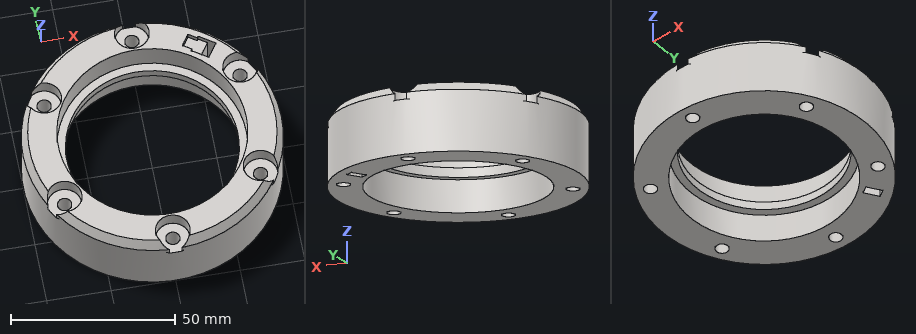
import cadquery as cq

OUTER_DIAMETER = 80.0
HEIGHT = 22.5
CHAMFER_WIDTH = 2.0
CHAMFER_HEIGHT = 2.9

BORE_DIAMETER = 58.2
LIP_DIAMETER = 53.0
LIP_DEPTH = 9.0
LIP_THICKNESS = 3.0

SCREW_COUNT = 6
SCREW_CIRCLE_RADIUS = 35.0
SCREW_START_ANGLE = 90.0
SCREW_HOLE_DIAMETER = 4.3
COUNTERBORE_DIAMETER = 10.6
COUNTERBORE_DEPTH = 5.0

POCKET_ANGLE = 56.2
POCKET_RADIUS = 33.5
POCKET_DEPTH = 1.8
WIDE_WIDTH = 5.4
WIDE_LENGTH = 5.9
NARROW_WIDTH = 4.2
NARROW_LENGTH = 3.1
WINDOW_LENGTH = 2.8
STEP_OFFSET = 0.6


def cylinder(diameter, base, height):
    return cq.Workplane("XY").workplane(offset=base).circle(diameter / 2).extrude(height)


def ring():
    """Chamfered ring whose bore is narrowed by a lip partway down."""
    outer_radius = OUTER_DIAMETER / 2
    lip_base = HEIGHT - LIP_DEPTH - LIP_THICKNESS
    profile = [
        (BORE_DIAMETER / 2, 0),
        (outer_radius, 0),
        (outer_radius, HEIGHT - CHAMFER_HEIGHT),
        (outer_radius - CHAMFER_WIDTH, HEIGHT),
        (BORE_DIAMETER / 2, HEIGHT),
        (BORE_DIAMETER / 2, HEIGHT - LIP_DEPTH),
        (LIP_DIAMETER / 2, HEIGHT - LIP_DEPTH),
        (LIP_DIAMETER / 2, lip_base),
        (BORE_DIAMETER / 2, lip_base),
    ]
    return cq.Workplane("XZ").polyline(profile).close().revolve(360, (0, 0, 0), (0, 1, 0))


def screw_cutter():
    """Through hole and counterbore, placed on the +X axis."""
    hole = cylinder(SCREW_HOLE_DIAMETER, 0, HEIGHT)
    counterbore = cylinder(COUNTERBORE_DIAMETER, HEIGHT - COUNTERBORE_DEPTH, COUNTERBORE_DEPTH)
    return hole.union(counterbore).translate((SCREW_CIRCLE_RADIUS, 0, 0))


def pocket_block(width, start, length, depth):
    """Box cut down from the top face; Y runs counterclockwise around the ring."""
    return (
        cq.Workplane("XY")
        .box(width, length, depth, centered=(True, False, False))
        .translate((POCKET_RADIUS, start, HEIGHT - depth))
    )


def pocket_cutter():
    window_start = STEP_OFFSET - WIDE_LENGTH
    wide = pocket_block(WIDE_WIDTH, window_start, WIDE_LENGTH, POCKET_DEPTH)
    narrow = pocket_block(NARROW_WIDTH, STEP_OFFSET, NARROW_LENGTH, POCKET_DEPTH)
    window = pocket_block(WIDE_WIDTH, window_start, WINDOW_LENGTH, HEIGHT)
    cutter = wide.union(narrow).union(window)
    return cutter.rotate((0, 0, 0), (0, 0, 1), POCKET_ANGLE)


result = ring().cut(pocket_cutter())
for index in range(SCREW_COUNT):
    angle = SCREW_START_ANGLE + index * 360 / SCREW_COUNT
    result = result.cut(screw_cutter().rotate((0, 0, 0), (0, 0, 1), angle))